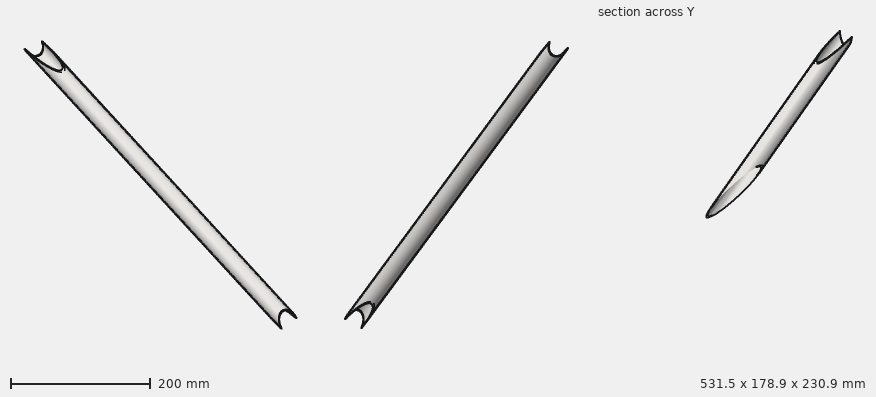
import cadquery as cq
import math

tube_radius = 14.5
wall = 1.0
axis_middle = cq.Vector(0, 0.5, 1.0)
axis_run_y = 0.286
axis_run_z = -0.424
stock_half_length = 399.0

left_oblique_distance = -292.0
left_blunt_distance = -299.5
right_oblique_distance = 298.0
right_blunt_distance = 295.0
left_oblique_tilt = 77.2
left_oblique_heading = 105.4
left_blunt_tilt = 44.9
left_blunt_heading = 297.6
right_oblique_tilt = 76.5
right_oblique_heading = 108.9
right_blunt_tilt = 46.4
right_blunt_heading = 286.6
cutter_size = 425.5

axis_direction = cq.Vector(1, axis_run_y, axis_run_z).normalized()
sideways = cq.Vector(0, 0, 1).cross(axis_direction)
tube_frame = cq.Plane(axis_middle, sideways, axis_direction)


def hollow_tube():
    """Round tube lying along Z, centred on the origin."""
    rings = cq.Workplane("XY").circle(tube_radius).circle(tube_radius - wall)
    return rings.extrude(stock_half_length, both=True)


def mitre_cutter(distance, tilt, heading):
    """Block that removes everything beyond one mitre plane, outwards from the middle."""
    lean = math.sin(math.radians(tilt))
    turn = math.radians(heading)
    normal = cq.Vector(-lean * math.cos(turn), -lean * math.sin(turn), math.cos(math.radians(tilt)))
    plane = cq.Plane((0, 0, distance), normal=normal)
    outward = math.copysign(cutter_size, distance)
    return cq.Workplane(plane).rect(cutter_size, cutter_size).extrude(outward)


mitres = [
    (left_oblique_distance, left_oblique_tilt, left_oblique_heading),
    (left_blunt_distance, left_blunt_tilt, left_blunt_heading),
    (right_oblique_distance, right_oblique_tilt, right_oblique_heading),
    (right_blunt_distance, right_blunt_tilt, right_blunt_heading),
]

tube = hollow_tube()
for distance, tilt, heading in mitres:
    tube = tube.cut(mitre_cutter(distance, tilt, heading))

result = cq.Workplane(tube.val().moved(cq.Location(tube_frame)))